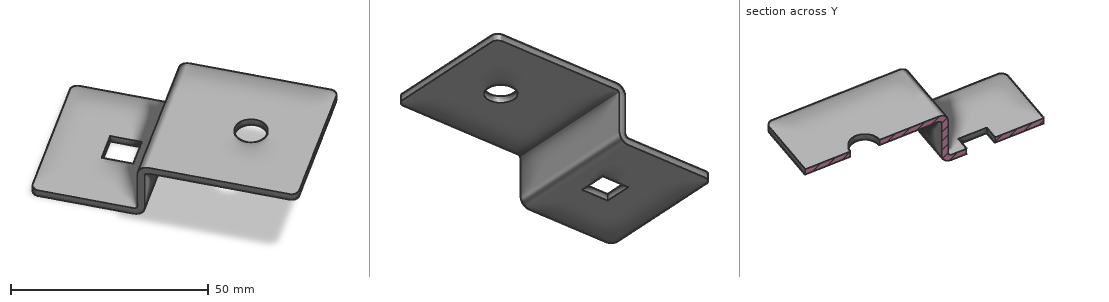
import cadquery as cq

length = 70.0
width = 40.0
height = 17.0
thickness = 2.0

inner_bend_radius = 1.0
outer_bend_radius = inner_bend_radius + thickness
corner_radius = 2.0

web_start = 28.0
web_end = web_start + thickness

square_hole_side = 8.3
round_hole_diameter = 8.5
square_hole_x = 18.5
round_hole_x = 52.5


def bent_strip():
    """Z-shaped sheet with sharp bends, then rounded inside and outside."""
    profile = [
        (0, 0),
        (web_end, 0),
        (web_end, height - thickness),
        (length, height - thickness),
        (length, height),
        (web_start, height),
        (web_start, thickness),
        (0, thickness),
    ]
    strip = cq.Workplane("XZ").polyline(profile).close().extrude(width / 2, both=True)

    bends = [
        (web_end, 0, outer_bend_radius),
        (web_start, thickness, inner_bend_radius),
        (web_start, height, outer_bend_radius),
        (web_end, height - thickness, inner_bend_radius),
    ]
    for x, z, radius in bends:
        bend_line = cq.selectors.NearestToPointSelector((x, 0, z))
        strip = strip.edges("|Y").edges(bend_line).fillet(radius)
    return strip


def round_free_corners(strip):
    """Round the two plan corners at the free end of each flange."""
    for end in ("<X", ">X"):
        strip = strip.faces(end).edges("|Z").fillet(corner_radius)
    return strip


def square_hole():
    """Cutter for the square opening through the lower flange."""
    return (
        cq.Workplane("XY")
        .center(square_hole_x, 0)
        .rect(square_hole_side, square_hole_side)
        .extrude(thickness)
    )


def round_hole():
    """Cutter for the round opening through the upper flange."""
    return (
        cq.Workplane("XY", origin=(round_hole_x, 0, height - thickness))
        .circle(round_hole_diameter / 2)
        .extrude(thickness)
    )


result = round_free_corners(bent_strip()).cut(square_hole()).cut(round_hole())